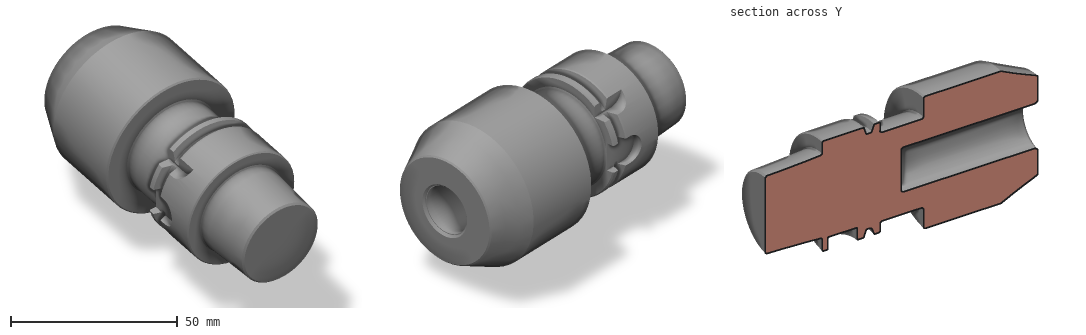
import cadquery as cq

total_length = 95.0
shank_length = 19.9
flange_length = 20.2
flange_back = total_length - shank_length
flange_front = flange_back - flange_length

head_radius = 48.0 / 2
nose_radius = 18.1
nose_chamfer = 0.5
cone_length = 12.9
head_length = 39.9
head_chamfer = 0.5
neck_radius = 32.3 / 2
neck_corner = 0.5

flange_radius = 40.0 / 2
flange_chamfer = 0.4
groove_center = 58.8
groove_floor_radius = 17.3
groove_floor_width = 1.8
groove_top_width = 3.5
groove_corner_length = 0.5
groove_corner_height = 0.3
groove_edge_length = 0.6
groove_edge_drop = 0.1

shank_root_radius = 15.1
shank_end_radius = 14.2
shank_chamfer = 0.6
shank_corner = 0.4

bore_radius = 16.0 / 2
bore_mouth_radius = 16.5 / 2
bore_mouth_depth = 0.95
bore_chamfer = 0.6
bore_depth = 47.5
bore_floor_bevel = 0.5

slot_radius = 4.75
slot_end = 67.2
drive_slot_floor = 16.9
notch_bottom = 11.9
notch_floor = 12.0

chip_pocket_diameter = 10.0
chip_pocket_depth = 4.5
chip_pocket_x = 68.0


def body():
    """Revolve the outer profile about X."""
    floor_front = groove_center - groove_floor_width / 2
    floor_back = groove_center + groove_floor_width / 2
    groove_front = groove_center - groove_top_width / 2
    groove_back = groove_center + groove_top_width / 2
    profile = [
        (0, 0),
        (0, nose_radius - nose_chamfer),
        (nose_chamfer, nose_radius),
        (cone_length, head_radius),
        (head_length - head_chamfer, head_radius),
        (head_length, head_radius - head_chamfer),
        (head_length, neck_radius + neck_corner),
        (head_length + neck_corner, neck_radius),
        (flange_front - neck_corner, neck_radius),
        (flange_front, neck_radius + neck_corner),
        (flange_front, flange_radius - flange_chamfer),
        (flange_front + flange_chamfer, flange_radius),
        (groove_front, flange_radius),
        (floor_front, groove_floor_radius + groove_corner_height),
        (floor_front + groove_corner_length, groove_floor_radius),
        (floor_back, groove_floor_radius),
        (groove_back, flange_radius - groove_edge_drop),
        (groove_back + groove_edge_length, flange_radius),
        (flange_back - flange_chamfer, flange_radius),
        (flange_back, flange_radius - flange_chamfer),
        (flange_back, shank_root_radius + shank_corner),
        (flange_back + shank_corner, shank_root_radius),
        (total_length - shank_chamfer, shank_end_radius),
        (total_length, shank_end_radius - shank_chamfer),
        (total_length, 0),
    ]
    return cq.Workplane("XY").polyline(profile).close().revolve(360, (0, 0, 0), (1, 0, 0))


def bore():
    """Blind stepped bore with a chamfered mouth and a bevelled floor."""
    profile = [
        (0, 0),
        (0, bore_mouth_radius + bore_chamfer),
        (bore_chamfer, bore_mouth_radius),
        (bore_mouth_depth, bore_mouth_radius),
        (bore_mouth_depth, bore_radius),
        (bore_depth - bore_floor_bevel, bore_radius),
        (bore_depth, bore_radius - bore_floor_bevel),
        (bore_depth, 0),
    ]
    return cq.Workplane("XY").polyline(profile).close().revolve(360, (0, 0, 0), (1, 0, 0))


def flange_slot(floor, center_z):
    """Slot open at the flange front face, cut inward from the -Y side to y = -floor."""
    center_x = slot_end - slot_radius
    return (
        cq.Workplane("XZ", origin=(0, -floor, center_z))
        .moveTo(flange_front, -slot_radius)
        .lineTo(center_x, -slot_radius)
        .threePointArc((slot_end, 0), (center_x, slot_radius))
        .lineTo(flange_front, slot_radius)
        .close()
        .extrude(flange_radius)
    )


def chip_pocket():
    """Blind round pocket entering the flange from -Z."""
    return (
        cq.Workplane("XY", origin=(chip_pocket_x, 0, -flange_radius))
        .circle(chip_pocket_diameter / 2)
        .extrude(chip_pocket_depth)
    )


drive_slot = flange_slot(drive_slot_floor, 0)
notch = flange_slot(notch_floor, notch_bottom + slot_radius)

result = body().cut(bore()).cut(drive_slot).cut(drive_slot.mirror("XZ")).cut(notch).cut(chip_pocket())